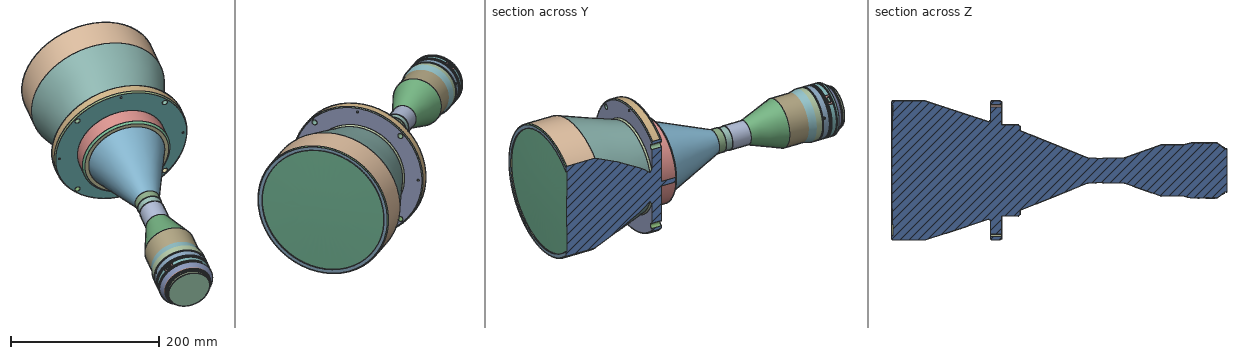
import cadquery as cq
import math

LENGTH = 452.2
BODY_R = 94.0

FRONT_EDGE = 1.5
FRONT_END = 45.0
LENS_R = 87.7
LENS_SETBACK = 2.0
LENS_RISE = 2.0
FRONT_CONE_END = 130.5
FRONT_CONE_R = 66.0
ROOT_FLARE = 2.0

FLANGE_START = 133.5
FLANGE_END = 149.0
FLANGE_FRONT_EDGE = 1.5
FLANGE_BACK_EDGE_LENGTH = 2.5
FLANGE_BACK_EDGE_DEPTH = 1.5
HOLE_CIRCLE_R = 87.5
HOLES_PER_SET = 4
MOUNT_HOLE_DIAMETER = 7.2
MOUNT_HOLE_ANGLE = 45
SMALL_HOLE_DIAMETER = 2.5
SMALL_HOLE_ANGLE = 0
HUB_END = 173.5
HUB_R = 62.0
HUB_EDGE = 2.5

REAR_CONE_R = 54.0
NECK_R = 17.0
NECK_START = 264.5
NECK_END = 314.0
NECK_GROOVE = (275.5, 285.5, 0.7)

FLARE_END = 363.5
BARREL_R = 35.0
BARREL_END = 393.5
COLLAR_START = 404.5
COLLAR_R = 37.5
COLLAR_END = 438.5
SHOULDER_X = 445.0
SHOULDER_R = 33.0
NOSE_START = 448.5
NOSE_BASE_R = 30.8
NOSE_R = 29.5
NOSE_EDGE = 0.5
SEAL_GROOVE = (446.0, 447.5, 1.0)

COLLAR_GROOVES = [(413.5, 414.5, 0.7), (423.8, 425.0, 0.7), (426.5, 428.0, 0.7)]
PART_GROOVE = (434.5, 436.0, 0.7)
PART_GROOVE_GAP = 104.0

SCREW_COUNT = 3
SCREW_X = 417.0
SCREW_DIAMETER = 2.5
SCREW_DEPTH = 3.5
SCREW_FIRST_ANGLE = 43.5
WINDOW_ANGLE = 128.0
WINDOW_X = 431.5
WINDOW_LENGTH = 7.2
WINDOW_WIDTH = 13.5
WINDOW_DEPTH = 2.0
PAD_LENGTH = 4.0
PAD_WIDTH = 8.0
PAD_DROP = 0.5


def turned_body():
    """Revolve the half outline of the barrel about the X axis."""
    lens_edge = (LENS_SETBACK, LENS_R)
    lens_centre_x = LENS_SETBACK - LENS_RISE
    lens_sphere_r = (LENS_R ** 2 + LENS_RISE ** 2) / (2 * LENS_RISE)
    lens_mid_r = LENS_R / 2
    lens_mid_x = lens_centre_x + lens_sphere_r - math.sqrt(lens_sphere_r ** 2 - lens_mid_r ** 2)
    outline = (
        cq.Workplane("XY")
        .moveTo(lens_centre_x, 0)
        .threePointArc((lens_mid_x, lens_mid_r), lens_edge)
        .lineTo(0, LENS_R)
        .lineTo(0, BODY_R - FRONT_EDGE)
        .lineTo(FRONT_EDGE, BODY_R)
        .lineTo(FRONT_END, BODY_R)
        .lineTo(FRONT_CONE_END, FRONT_CONE_R)
        .lineTo(FLANGE_START, FRONT_CONE_R + ROOT_FLARE)
        .lineTo(FLANGE_START, BODY_R - FLANGE_FRONT_EDGE)
        .lineTo(FLANGE_START + FLANGE_FRONT_EDGE, BODY_R)
        .lineTo(FLANGE_END - FLANGE_BACK_EDGE_LENGTH, BODY_R)
        .lineTo(FLANGE_END, BODY_R - FLANGE_BACK_EDGE_DEPTH)
        .lineTo(FLANGE_END, HUB_R)
        .lineTo(HUB_END - HUB_EDGE, HUB_R)
        .lineTo(HUB_END, HUB_R - HUB_EDGE)
        .lineTo(HUB_END, REAR_CONE_R)
        .lineTo(NECK_START, NECK_R)
        .lineTo(NECK_END, NECK_R)
        .lineTo(FLARE_END, BARREL_R)
        .lineTo(BARREL_END, BARREL_R)
        .lineTo(COLLAR_START, COLLAR_R)
        .lineTo(COLLAR_END, COLLAR_R)
        .lineTo(SHOULDER_X, SHOULDER_R)
        .lineTo(NOSE_START, NOSE_BASE_R)
        .lineTo(NOSE_START, NOSE_R)
        .lineTo(LENGTH - NOSE_EDGE, NOSE_R)
        .lineTo(LENGTH, NOSE_R - NOSE_EDGE)
        .lineTo(LENGTH, 0)
        .close()
    )
    return outline.revolve(360, (0, 0, 0), (1, 0, 0))


def groove(start, end, depth, outer_r, gap=0):
    """Ring cutter reaching the given depth below outer_r, with an optional gap centred on +Y."""
    section = cq.Workplane("XY").moveTo(start, outer_r - depth).lineTo(end, outer_r - depth)
    section = section.lineTo(end, outer_r).lineTo(start, outer_r).close()
    turned = section.revolve(360 - gap, (0, 0, 0), (1, 0, 0))
    return turned.rotate((0, 0, 0), (1, 0, 0), gap / 2)


def taper_radius(x):
    """Radius of the nose taper at the given place along the axis."""
    slope = (NOSE_BASE_R - SHOULDER_R) / (NOSE_START - SHOULDER_X)
    return SHOULDER_R + slope * (x - SHOULDER_X)


def flange_holes(diameter, first_angle):
    """Set of evenly spaced through holes in the flange."""
    return (
        cq.Workplane("YZ", origin=(FLANGE_START, 0, 0))
        .polarArray(HOLE_CIRCLE_R, first_angle, 360, HOLES_PER_SET)
        .circle(diameter / 2)
        .extrude(FLANGE_END - FLANGE_START)
    )


def radial_plane(x, radius, angle):
    """Work plane on the outside of the collar, facing outward, with its local X along the axis."""
    turn = math.radians(angle)
    outward = (0, math.cos(turn), math.sin(turn))
    origin = (x, radius * outward[1], radius * outward[2])
    return cq.Workplane(cq.Plane(origin=origin, xDir=(1, 0, 0), normal=outward))


def screw_holes():
    """Blind radial holes spaced evenly around the collar."""
    holes = cq.Workplane()
    for i in range(SCREW_COUNT):
        angle = SCREW_FIRST_ANGLE + i * 360 / SCREW_COUNT
        plane = radial_plane(SCREW_X, COLLAR_R, angle)
        holes = holes.add(plane.circle(SCREW_DIAMETER / 2).extrude(-SCREW_DEPTH))
    return holes.combine()


def index_window():
    """Shallow window in the collar that leaves a rounded pad standing in it."""
    floor = radial_plane(WINDOW_X, COLLAR_R - WINDOW_DEPTH, WINDOW_ANGLE)
    window = floor.rect(WINDOW_LENGTH, WINDOW_WIDTH).extrude(2 * WINDOW_DEPTH)
    pad = floor.slot2D(PAD_WIDTH, PAD_LENGTH, 90).extrude(WINDOW_DEPTH - PAD_DROP)
    return window.cut(pad)


result = turned_body()
for collar_groove in COLLAR_GROOVES:
    result = result.cut(groove(*collar_groove, COLLAR_R))
result = result.cut(groove(*PART_GROOVE, COLLAR_R, PART_GROOVE_GAP))
result = result.cut(groove(*NECK_GROOVE, NECK_R))
result = result.cut(groove(*SEAL_GROOVE, taper_radius(SEAL_GROOVE[0])))
result = result.cut(flange_holes(MOUNT_HOLE_DIAMETER, MOUNT_HOLE_ANGLE))
result = result.cut(flange_holes(SMALL_HOLE_DIAMETER, SMALL_HOLE_ANGLE))
result = result.cut(screw_holes())
result = result.cut(index_window())